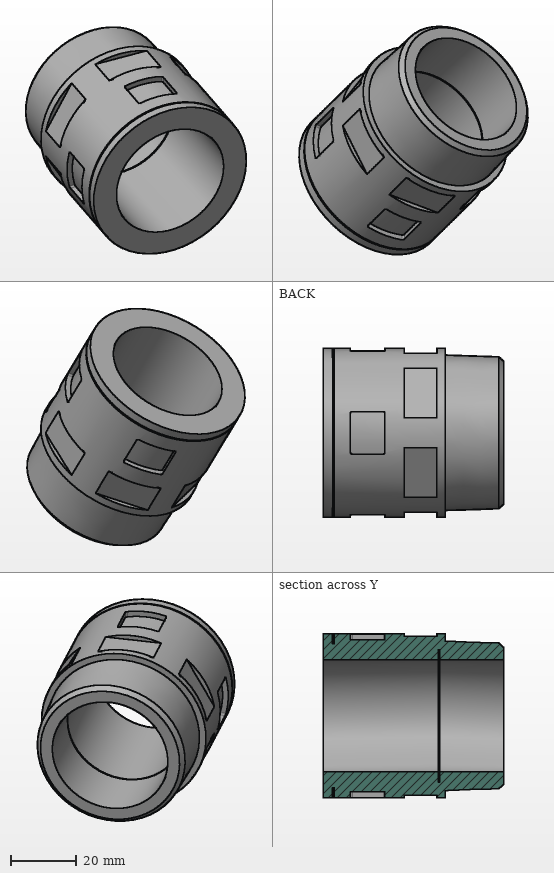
import cadquery as cq

length = 55.5
spigot_length = 17.9
spigot_chamfer = 1.5
inner_groove_start = 19.75
inner_groove_width = 0.35
groove_start = 52.15
groove_width = 0.45

body_diameter = 52.0
spigot_root_diameter = 47.85
spigot_tip_diameter = 46.75
spigot_face_diameter = 43.95
groove_diameter = 46.2
bore_diameter = 36.5
inner_groove_diameter = 42.5

flat_count = 6
across_flats = 48.95
flat_start = 20.6
flat_length = 10.0

pocket_count = 4
pocket_start = 36.5
pocket_length = 10.6
pocket_width = 13.05
pocket_floor_diameter = 48.4
pocket_corner_radius = 0.5


def cylinder(start, end, diameter):
    """Cylinder about the X axis between two stations."""
    return cq.Workplane("YZ", origin=(start, 0, 0)).circle(diameter / 2).extrude(end - start)


def make_body():
    """Tapered spigot, shoulder and main barrel, turned about X."""
    return (
        cq.Workplane("XZ")
        .moveTo(0, 0)
        .lineTo(0, spigot_face_diameter / 2)
        .lineTo(spigot_chamfer, spigot_tip_diameter / 2)
        .lineTo(spigot_length, spigot_root_diameter / 2)
        .lineTo(spigot_length, body_diameter / 2)
        .lineTo(length, body_diameter / 2)
        .lineTo(length, 0)
        .close()
        .revolve(360, (0, 0, 0), (1, 0, 0))
    )


def make_flat_cutter():
    """Ring whose inner faces are the wrench flats, one of them facing +Z."""
    flat_end = flat_start + flat_length
    prism = (
        cq.Workplane("YZ", origin=(flat_start, 0, 0))
        .polygon(flat_count, across_flats, circumscribed=True)
        .extrude(flat_length)
        .rotate((0, 0, 0), (1, 0, 0), 180 / flat_count)
    )
    return cylinder(flat_start, flat_end, 2 * body_diameter).cut(prism)


def make_pocket_cutter():
    """Rounded rectangular block facing +Z, hollowed to the pocket floor."""
    pocket_end = pocket_start + pocket_length
    block = (
        cq.Workplane("XY")
        .center((pocket_start + pocket_end) / 2, 0)
        .rect(pocket_length, pocket_width)
        .extrude(body_diameter)
        .edges("|Z")
        .fillet(pocket_corner_radius)
    )
    return block.cut(cylinder(0, length, pocket_floor_diameter))


def make_groove_cutter():
    """Narrow ring groove near the far end."""
    groove_end = groove_start + groove_width
    outer = cylinder(groove_start, groove_end, 2 * body_diameter)
    return outer.cut(cylinder(groove_start, groove_end, groove_diameter))


result = make_body().cut(make_flat_cutter()).cut(make_groove_cutter())

pocket_cutter = make_pocket_cutter()
for index in range(pocket_count):
    angle = index * 360 / pocket_count
    result = result.cut(pocket_cutter.rotate((0, 0, 0), (1, 0, 0), angle))

result = result.cut(cylinder(0, length, bore_diameter))
inner_groove_end = inner_groove_start + inner_groove_width
result = result.cut(cylinder(inner_groove_start, inner_groove_end, inner_groove_diameter))